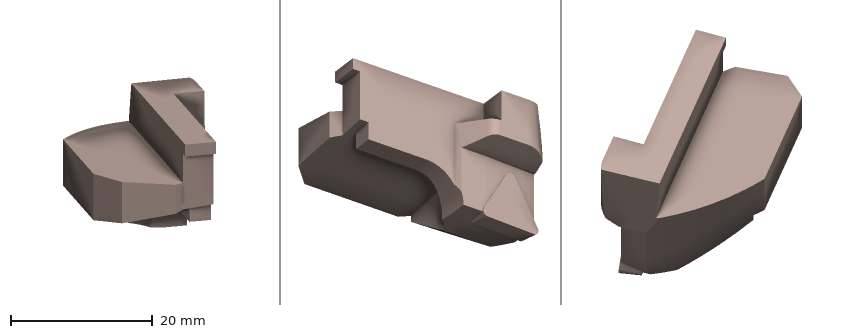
import cadquery as cq
import math

LENGTH = 31.2
DEPTH = 21.5
HEIGHT = 19.0

RAIL_FRONT_Y = 12.5
RAIL_BACK_Y = 17.0
SHELF_OUTER_Z = 14.72
SHELF_INNER_Z = 12.95
NOTCH_X = 29.97
NOTCH_TOP_Z = 17.22

NOSE_TIP = (0.78, 13.82)
NOSE_MID = (5.18, 6.43)
NOSE_END_X = 11.95
END_CHAMFER = 3.27
INNER_CHAMFER_Y = 11.15
BOSS_CORNER_R = 4.68
BOSS_ARC_X = 4.37
BOSS_SIDE_Y = 19.65
BOSS_STEP_X = 8.92
BOSS_STEP_Z = 14.05
BOSS_FOOT_X = 13.97
BOSS_SHOULDER_START_X = 9.0
BOSS_SHOULDER = (10.75, 20.77)
BOSS_SHOULDER_MID = (10.07, 21.27)

BOSS_LOW_Z = 11.55
BACK_FACE_Y = 17.85
BACK_FACE_TOP_Z = 9.92
BASE_Z = 0.65
BASE_FRONT_Y = 14.35
HEEL_Y = 9.82
HEEL_Z = 1.1
SLOPE_FRONT_Z = 7.67

END_FACE_X = 0.65
END_LEAN_X = 2.68
END_FACE_YAW = 2.0
END_CORNER_R = 0.62
BACK_FACE_LEFT_Y = 17.45
BACK_FACE_YAW = 2.5

UNDERCUT_Z = 7.83
UNDERCUT_RISE = 0.09
RELIEF_LEFT_X = 10.48
RELIEF_RADIUS = 6.35
RELIEF_CENTER_Y = 7.5
PAD_END_X = 28.55
PAD_Z = 6.55
LEG_FOOT_X = 12.95
LEG_ARC_MID = (14.45, 4.65)
LEG_ARC_END_X = 18.4

INSERT_WIDTH = 9.73
INSERT_CORNER_R = 0.78
INSERT_FACE_Y = 17.62
INSERT_THICKNESS = 3.25
INSERT_CLEARANCE = 7.0

MARGIN = 3.12


def block(x0, x1, y0, y1, z0, z1):
    return cq.Workplane("XY").box(x1 - x0, y1 - y0, z1 - z0, centered=False).translate((x0, y0, z0))


def plan_prism():
    """Outline seen along Z, including the rear boss."""
    boss_center_y = DEPTH - BOSS_CORNER_R
    diagonal = BOSS_CORNER_R * math.sqrt(0.5)
    arc_mid = (BOSS_ARC_X - diagonal, boss_center_y + diagonal)
    arc_start_x = BOSS_ARC_X - math.sqrt(BOSS_CORNER_R**2 - (BOSS_SIDE_Y - boss_center_y) ** 2)
    return (
        cq.Workplane("XY")
        .moveTo(NOSE_END_X, 0)
        .lineTo(LENGTH - END_CHAMFER, 0)
        .lineTo(LENGTH, END_CHAMFER)
        .lineTo(LENGTH, INNER_CHAMFER_Y)
        .lineTo(NOTCH_X, RAIL_FRONT_Y)
        .lineTo(LENGTH, RAIL_FRONT_Y)
        .lineTo(LENGTH, RAIL_BACK_Y)
        .lineTo(BOSS_FOOT_X, RAIL_BACK_Y)
        .lineTo(*BOSS_SHOULDER)
        .threePointArc(BOSS_SHOULDER_MID, (BOSS_SHOULDER_START_X, DEPTH))
        .lineTo(BOSS_ARC_X, DEPTH)
        .threePointArc(arc_mid, (arc_start_x, BOSS_SIDE_Y))
        .lineTo(0, BOSS_SIDE_Y)
        .lineTo(0, NOSE_TIP[1])
        .lineTo(*NOSE_TIP)
        .threePointArc(NOSE_MID, (NOSE_END_X, 0))
        .close()
        .extrude(HEIGHT)
    )


def cross_section_prism():
    """Outline seen along X: shelf, rail, boss underside and sloped belly."""
    points = [
        (0, SLOPE_FRONT_Z),
        (0, SHELF_OUTER_Z),
        (RAIL_FRONT_Y, SHELF_INNER_Z),
        (RAIL_FRONT_Y, HEIGHT),
        (DEPTH, HEIGHT),
        (DEPTH, BOSS_LOW_Z),
        (BACK_FACE_Y, BACK_FACE_TOP_Z),
        (BACK_FACE_Y, BASE_Z),
        (BASE_FRONT_Y, BASE_Z),
        (HEEL_Y, HEEL_Z),
    ]
    return cq.Workplane("YZ").polyline(points).close().extrude(LENGTH)


def end_face_prism():
    """Outline seen along Y that trims the left end, yawed slightly about the back edge."""
    corner_x = END_FACE_X + END_CORNER_R
    corner_z = BASE_Z + END_CORNER_R
    diagonal = END_CORNER_R * math.sqrt(0.5)
    return (
        cq.Workplane("XZ", origin=(0, DEPTH + MARGIN, 0))
        .moveTo(END_FACE_X, BACK_FACE_TOP_Z)
        .lineTo(END_LEAN_X, HEIGHT)
        .lineTo(LENGTH + MARGIN, HEIGHT)
        .lineTo(LENGTH + MARGIN, BASE_Z)
        .lineTo(corner_x, BASE_Z)
        .threePointArc((corner_x - diagonal, corner_z - diagonal), (END_FACE_X, corner_z))
        .close()
        .extrude(DEPTH + 2 * MARGIN)
        .rotate((END_FACE_X, BACK_FACE_Y, 0), (END_FACE_X, BACK_FACE_Y, 1), END_FACE_YAW)
    )


def undercut():
    """Space below the shelf block: concave cylindrical wall and a gently rising ceiling."""
    center_x = RELIEF_LEFT_X + RELIEF_RADIUS
    wall_y = RELIEF_CENTER_Y + RELIEF_RADIUS
    diagonal = RELIEF_RADIUS * math.sqrt(0.5)
    region = (
        cq.Workplane("XY")
        .moveTo(RELIEF_LEFT_X, -MARGIN)
        .lineTo(RELIEF_LEFT_X, RELIEF_CENTER_Y)
        .threePointArc((center_x - diagonal, RELIEF_CENTER_Y + diagonal), (center_x, wall_y))
        .lineTo(PAD_END_X, wall_y)
        .lineTo(PAD_END_X, DEPTH)
        .lineTo(LENGTH + MARGIN, DEPTH)
        .lineTo(LENGTH + MARGIN, -MARGIN)
        .close()
        .extrude(HEIGHT)
    )
    ceiling = [
        (-MARGIN, 0),
        (DEPTH, 0),
        (DEPTH, UNDERCUT_Z + UNDERCUT_RISE * DEPTH),
        (-MARGIN, UNDERCUT_Z - UNDERCUT_RISE * MARGIN),
    ]
    return region.intersect(cq.Workplane("YZ").polyline(ceiling).close().extrude(LENGTH + MARGIN))


def leg_cut():
    """Space right of the leg, with a concave blend up to the flat pad."""
    return (
        cq.Workplane("XZ")
        .moveTo(LEG_FOOT_X, BASE_Z)
        .threePointArc(LEG_ARC_MID, (LEG_ARC_END_X, PAD_Z))
        .lineTo(LENGTH + MARGIN, PAD_Z)
        .lineTo(LENGTH + MARGIN, -MARGIN)
        .lineTo(LEG_FOOT_X, -MARGIN)
        .close()
        .extrude(-DEPTH)
    )


def back_face_wedge():
    """Thin wedge that turns the back face below the boss toward the left end."""
    run = (BACK_FACE_Y - BACK_FACE_LEFT_Y) / math.tan(math.radians(BACK_FACE_YAW))
    return (
        cq.Workplane("XY")
        .polyline([(0, BACK_FACE_LEFT_Y), (run, BACK_FACE_Y), (0, BACK_FACE_Y)])
        .close()
        .extrude(BACK_FACE_TOP_Z)
    )


def make_insert():
    side = INSERT_WIDTH - 2 * INSERT_CORNER_R
    apex = (INSERT_WIDTH / 2, INSERT_CORNER_R + side * math.sqrt(3) / 2)
    corners = [
        (INSERT_CORNER_R, INSERT_CORNER_R),
        (INSERT_WIDTH - INSERT_CORNER_R, INSERT_CORNER_R),
        apex,
    ]
    return (
        cq.Workplane("XZ", origin=(0, INSERT_FACE_Y, 0))
        .polyline(corners)
        .close()
        .offset2D(INSERT_CORNER_R)
        .extrude(INSERT_THICKNESS, taper=INSERT_CLEARANCE)
        .rotate((0, INSERT_FACE_Y, 0), (0, INSERT_FACE_Y, 1), BACK_FACE_YAW)
    )


def make_holder(insert):
    body = plan_prism().intersect(cross_section_prism()).intersect(end_face_prism())
    boss_step = block(BOSS_STEP_X, LENGTH, RAIL_BACK_Y, DEPTH, BOSS_STEP_Z, HEIGHT)
    rail_notch = block(NOTCH_X, LENGTH, RAIL_FRONT_Y, RAIL_BACK_Y, 0, NOTCH_TOP_Z)
    body = body.cut(boss_step).cut(rail_notch)
    body = body.cut(undercut()).cut(leg_cut()).cut(back_face_wedge())
    return body.cut(insert).solids()


insert = make_insert()
holder = make_holder(insert)
result = cq.Compound.makeCompound([holder.val(), insert.val()])